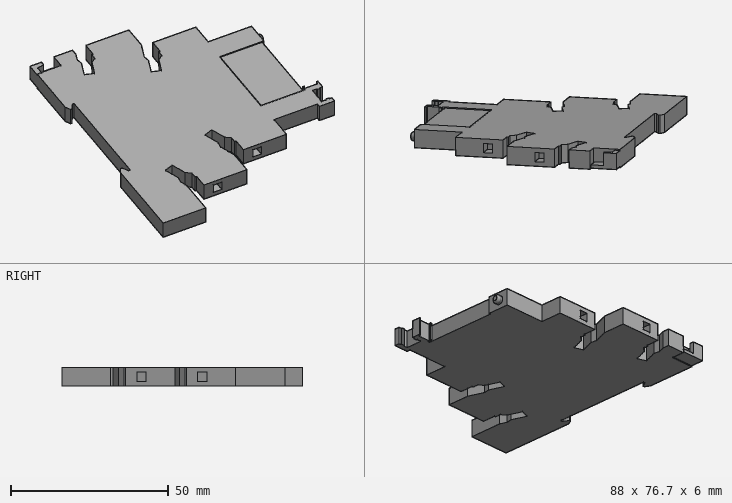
import cadquery as cq
import math

length = 88.0
thickness = 6.0
mid_z = thickness / 2

body_center = 39.0
foot_top = 15.5
middle_half_width = body_center
middle_bottom, middle_top = 20.3, 36.0
upper_half_width = 29.9
upper_bottom, upper_top = 39.7, 55.35
turret_half_width = 21.7
turret_top = 71.1

slot_slope = math.radians(20)
slot_width = 3.3
slot_end = (13.4, -4.1)
step_inset, step_depth = 4.8, 0.5
bevel_inset = 6.95
bevel_end = (8.3, -2.3)
valley_inset, valley_depth = 4.8, 5.7
lip_inset = 7.0

entry_size = 3.0
entry_depth = 5.3
entry_rise = 5.0

rail_center = 41.6
rail_depth = 3.3
rail_half_width = 18.6
rail_neck = 2.7
hook_half_gap = 16.5
hook_tip_top, hook_tip_bottom = 1.5, 1.0
hook_base_half_gap = 18.3

latch_length, latch_pocket_width = 4.8, 8.7
latch_gap = 0.35
latch_width = latch_pocket_width - latch_gap
latch_floor = 1.5
latch_block_width = 4.2
latch_arm_width = 1.8
latch_neck_top, latch_neck_bottom = 1.5, 1.9

relay_left, relay_right = 25.4, 52.6
relay_bottom, relay_top = 55.1, 70.5
relay_recess = 0.35

clip_left, clip_right = 52.0, 62.0
clip_top = 76.65
clip_slot_left, clip_slot_right = 54.1, 60.2
clip_slot_floor = 72.95
bump_bottom, bump_top, bump_height, bump_taper = 74.45, 75.8, 0.35, 0.2
barb_reach = 1.1
upper_barb_height, upper_barb_tip = 0.7, 0.4
lower_barb_height, lower_barb_tip = 0.35, 0.7

lamp_x = 20.8
lamp_radius = 1.5
lamp_base_height = 0.7
lamp_shoulder = (1.4, 1.4)
lamp_top_radius = 0.8
lamp_height = 1.9


def plate(points, bottom=0.0, top=thickness):
    """Flat piece with the given XY outline between two heights."""
    return cq.Workplane("XY").workplane(offset=bottom).polyline(points).close().extrude(top - bottom)


def block(x0, x1, y0, y1, bottom=0.0, top=thickness):
    """Rectangular piece between two corners."""
    return plate([(x0, y0), (x1, y0), (x1, y1), (x0, y1)], bottom, top)


def slot_edge(half_width, tier_bottom, shelf_top):
    """Left slot edge, from the shelf below it to the lower corner of the tier above."""
    run = (shelf_top - tier_bottom + valley_depth) / math.tan(slot_slope)
    end_x, end_y = slot_end
    base_x = end_x - slot_width * math.sin(slot_slope)
    base_y = end_y - slot_width * math.cos(slot_slope)
    edge = [
        (valley_inset - run, shelf_top - tier_bottom),
        (valley_inset, -valley_depth),
        (lip_inset, base_y + (base_x - lip_inset) * math.tan(slot_slope)),
        (base_x, base_y),
        slot_end,
        bevel_end,
        (bevel_inset, -step_depth),
        (step_inset, -step_depth),
        (step_inset, 0),
        (0, 0),
    ]
    return [(body_center - half_width + x, tier_bottom + y) for x, y in edge]


def make_housing():
    """Tiered body, its right half mirrored from the left, plus the longer right foot."""
    left = [(0, 0), (0, foot_top)]
    left += slot_edge(middle_half_width, middle_bottom, foot_top)
    left += [(body_center - middle_half_width, middle_top)]
    left += slot_edge(upper_half_width, upper_bottom, middle_top)
    left += [
        (body_center - upper_half_width, upper_top),
        (body_center - turret_half_width, upper_top),
        (body_center - turret_half_width, turret_top),
    ]
    right = [(2 * body_center - x, y) for x, y in reversed(left)]
    foot = block(body_center + middle_half_width, length, 0, foot_top)
    return plate(left + right).union(foot)


def make_rail_notch():
    half = [
        (hook_base_half_gap, 0),
        (hook_half_gap, hook_tip_bottom),
        (hook_half_gap, hook_tip_top),
        (rail_half_width, rail_neck),
        (rail_half_width, rail_depth),
    ]
    right = [(rail_center + x, y) for x, y in half]
    left = [(rail_center - x, y) for x, y in reversed(half)]
    return plate(right + left)


def make_wire_entries():
    entries = cq.Workplane("XY")
    tiers = [(middle_half_width, middle_bottom), (upper_half_width, upper_bottom)]
    for half_width, tier_bottom in tiers:
        for side in (-1, 1):
            x = body_center + side * (half_width - entry_depth / 2)
            entry = cq.Workplane("XY").box(entry_depth, entry_size, entry_size)
            entries = entries.add(entry.translate((x, tier_bottom + entry_rise, mid_z)))
    return entries.combine()


def make_latch():
    """Floor plate with an L-shaped block standing on it, clear of both faces."""
    floor = block(0, latch_length, 0, latch_width, latch_gap, latch_floor)
    outline = [
        (0, 0),
        (latch_length, 0),
        (latch_length, latch_arm_width),
        (latch_neck_bottom, latch_arm_width),
        (latch_neck_top, latch_block_width),
        (0, latch_block_width),
    ]
    return floor.union(plate(outline, latch_gap, thickness - latch_gap))


def make_clip():
    """U-shaped marker holder with a bump inside each arm and two barbs on its left."""
    clip = block(clip_left, clip_right, turret_top, clip_top)
    clip = clip.cut(block(clip_slot_left, clip_slot_right, clip_slot_floor, clip_top))
    for wall, inward in ((clip_slot_left, 1), (clip_slot_right, -1)):
        tip = wall + inward * bump_height
        bump = [
            (wall, bump_bottom),
            (tip, bump_bottom + bump_taper),
            (tip, bump_top - bump_taper),
            (wall, bump_top),
        ]
        clip = clip.union(plate(bump))
    tip_x = clip_left - barb_reach
    barb_middle_x = clip_left - barb_reach / 2
    upper_barb = [
        (clip_left, clip_top),
        (tip_x, clip_top),
        (tip_x, clip_top - upper_barb_tip),
        (barb_middle_x, clip_top - upper_barb_height),
        (clip_left, clip_top - upper_barb_height),
    ]
    lower_barb = [
        (clip_left, turret_top),
        (tip_x, turret_top),
        (tip_x, turret_top + lower_barb_tip),
        (barb_middle_x, turret_top + lower_barb_height),
        (clip_left, turret_top + lower_barb_height),
    ]
    return clip.union(plate(upper_barb)).union(plate(lower_barb))


def make_lamp():
    """Short cylinder with a bulging cap and a small flat top, turned about its Y axis."""
    lamp = (
        cq.Workplane("XY")
        .lineTo(lamp_radius, 0)
        .lineTo(lamp_radius, lamp_base_height)
        .threePointArc(lamp_shoulder, (lamp_top_radius, lamp_height))
        .lineTo(0, lamp_height)
        .close()
        .revolve(360, (0, 0, 0), (0, 1, 0))
    )
    return lamp.translate((lamp_x, turret_top, mid_z))


result = make_housing().cut(make_rail_notch()).cut(make_wire_entries())

result = result.cut(block(relay_left, relay_right, relay_top, turret_top))
result = result.cut(
    block(relay_left, relay_right, relay_bottom, relay_top, thickness - relay_recess, thickness)
)

result = result.cut(block(0, latch_length, 0, latch_pocket_width)).union(make_latch())
result = result.union(make_clip()).union(make_lamp())